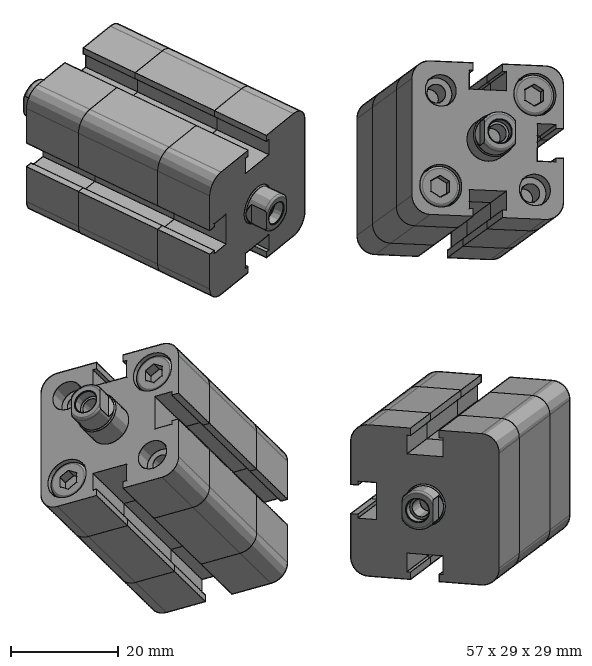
import cadquery as cq

housing_length = 43.0
cap_length = 12.2
front_stub = 9.5
rear_stub = 4.5
tube_length = housing_length - 2 * cap_length
rod_length = front_stub + housing_length + rear_stub

side = 29.0
corner_radius = 3.5
slot_mouth = 5.6
slot_width = 7.05
slot_lip = 1.4
slot_depth = 5.0
slot_angles = (90, 180, 270)

rod_diameter = 8.0
neck_diameter = 7.45
neck_length = 4.5
neck_edge_radius = 0.45
flat_width = 6.0
rod_hole_diameter = 4.4
rod_hole_depth = 2.1
rod_hole_chamfer = 0.14
rod_core_diameter = 3.4
rod_core_depth = 6.85

corner_offset = 9.0
mount_diameter = 5.9
mount_depth = 3.5
mount_core_diameter = 3.55
mount_core_depth = 9.1
recess_diameter = 8.05
recess_depth = 4.0
head_diameter = 7.65
head_setback = 0.5
head_edge_radius = 0.45
hex_across_flats = 3.55
hex_depth = 2.15


def cylinder(diameter, start, end):
    """Cylinder about the X axis between two X positions."""
    return cq.Workplane("YZ").workplane(offset=start).circle(diameter / 2).extrude(end - start)


def cone(start_diameter, end_diameter, start, end):
    """Truncated cone about the X axis between two X positions."""
    solid = cq.Solid.makeCone(
        start_diameter / 2, end_diameter / 2, end - start, cq.Vector(start, 0, 0), cq.Vector(1, 0, 0)
    )
    return cq.Workplane("YZ").add(solid)


def slot_cutter(length):
    """T-slot for the +Y side: a narrow mouth and a wider channel behind its lips."""
    mouth_centre = (side - slot_lip) / 2
    channel_depth = slot_depth - slot_lip
    channel_centre = side / 2 - slot_lip - channel_depth / 2
    mouth = cq.Workplane("YZ").center(mouth_centre, 0).rect(slot_lip, slot_mouth).extrude(length)
    channel = cq.Workplane("YZ").center(channel_centre, 0).rect(channel_depth, slot_width).extrude(length)
    return mouth.union(channel)


def housing_section(start, length):
    """Length of the slotted square profile, bored for the rod."""
    section = cq.Workplane("YZ").rect(side, side).extrude(length)
    section = section.edges("|X").fillet(corner_radius)
    for angle in slot_angles:
        section = section.cut(slot_cutter(length).rotate((0, 0, 0), (1, 0, 0), angle))
    section = section.cut(cylinder(rod_diameter, 0, length))
    return section.translate((start, 0, 0))


def stepped_hole(diameter, depth, core_diameter, core_depth):
    return cylinder(diameter, 0, depth).union(cylinder(core_diameter, 0, core_depth))


def screw_recess():
    """Ring-shaped recess that leaves a rounded screw head, plus its hexagon socket with corners along Z."""
    head = cylinder(head_diameter, head_setback, recess_depth)
    head = head.faces("<X").edges().fillet(head_edge_radius)
    socket = (
        cq.Workplane("YZ")
        .workplane(offset=head_setback)
        .polygon(6, hex_across_flats, circumscribed=True)
        .extrude(hex_depth)
    )
    return cylinder(recess_diameter, 0, recess_depth).cut(head).union(socket)


def make_front_cap():
    """Cap with mounting holes on one diagonal and screw heads on the other."""
    cap = housing_section(0, cap_length)
    mounting_hole = stepped_hole(mount_diameter, mount_depth, mount_core_diameter, mount_core_depth)
    for y in (corner_offset, -corner_offset):
        cap = cap.cut(mounting_hole.translate((0, y, y)))
        cap = cap.cut(screw_recess().translate((0, -y, y)))
    return cap


def make_tube():
    return housing_section(cap_length, tube_length)


def make_rear_cap():
    return housing_section(cap_length + tube_length, cap_length)


def flats_envelope():
    """Space between the two wrench flats, which run out at 45 degrees to the full rod diameter."""
    flat_length = neck_length - (rod_diameter - flat_width) / 2
    return (
        cq.Workplane("XY")
        .moveTo(0, -flat_width / 2)
        .lineTo(0, flat_width / 2)
        .lineTo(flat_length, flat_width / 2)
        .lineTo(neck_length, rod_diameter / 2)
        .lineTo(neck_length, -rod_diameter / 2)
        .lineTo(flat_length, -flat_width / 2)
        .close()
        .extrude(rod_diameter / 2, both=True)
    )


def rod_tip():
    """End of the rod from X = 0 to the full diameter: neck, flats and a 45 degree cone."""
    cone_length = (rod_diameter - neck_diameter) / 2
    neck = cylinder(neck_diameter, 0, neck_length)
    neck = neck.faces("<X").edges().fillet(neck_edge_radius)
    shoulder = cone(neck_diameter, rod_diameter, neck_length - cone_length, neck_length)
    return neck.union(shoulder).intersect(flats_envelope())


def rod_end_hole():
    """Stepped hole in the end of the rod, with a chamfered mouth."""
    mouth = cone(rod_hole_diameter + 2 * rod_hole_chamfer, rod_hole_diameter, 0, rod_hole_chamfer)
    hole = stepped_hole(rod_hole_diameter, rod_hole_depth, rod_core_diameter, rod_core_depth)
    return hole.union(mouth)


def at_rear_end(shape):
    """Mirror image of a front-end shape at the other end of the rod."""
    return shape.mirror("YZ").translate((rod_length, 0, 0))


def make_rod():
    """Rod through the whole housing, with the same tip and hole at both ends."""
    rod = cylinder(rod_diameter, neck_length, rod_length - neck_length)
    rod = rod.union(rod_tip()).union(at_rear_end(rod_tip()))
    rod = rod.cut(rod_end_hole()).cut(at_rear_end(rod_end_hole()))
    return rod.translate((-front_stub, 0, 0))


front_cap = make_front_cap()
tube = make_tube()
rear_cap = make_rear_cap()
rod = make_rod()

result = cq.Compound.makeCompound([front_cap.val(), tube.val(), rear_cap.val(), rod.val()])